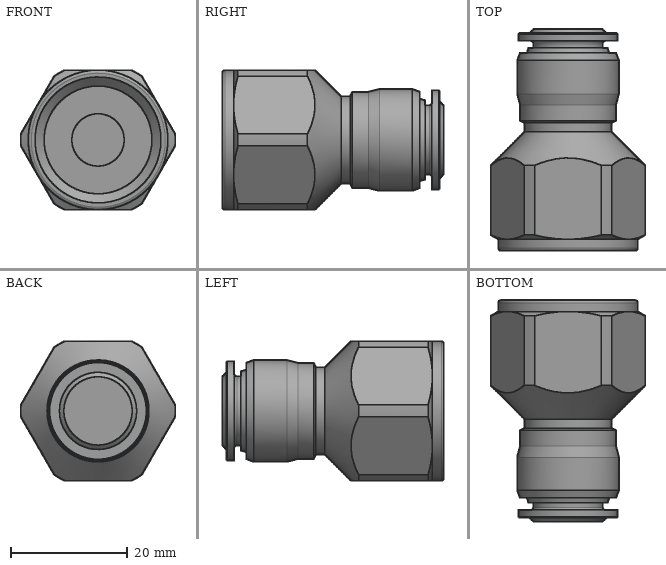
import cadquery as cq
import math

length = 38.1

hex_flats = 24.0
corner_radius = 13.3
collar_radius = hex_flats / 2
collar_length = 2.0
collar_round = 0.5
front_bevel_angle = 30.0
neck_radius = 7.5
neck_start = 20.45

sleeve_start = 22.0
sleeve_bevel_length = 0.4
sleeve_small_radius = 8.25
sleeve_radius = 8.75
sleeve_flare_start = 25.07
sleeve_wide_start = 26.97
sleeve_wide_end = 32.7
sleeve_end = 34.0
insert_base_radius = 7.1
insert_tip_radius = 6.82
insert_end = 34.85

ring_neck_radius = 6.0
ring_fillet = 0.45
ring_radius = 8.55
ring_front = 36.05
ring_back = 37.4
ring_bevel = 0.23
lip_base_radius = 6.63
lip_tip_radius = 5.85

bore_radius = 9.25
bore_mouth_radius = 10.82
bore_depth = 15.0
inner_bore_radius = 4.5
inner_bore_end = neck_start

corner_height = corner_radius - collar_radius
bevel_end = collar_length + corner_height * math.tan(math.radians(front_bevel_angle))
rear_bevel_start = neck_start - (corner_radius - neck_radius)


def revolve_about_y(profile):
    return profile.close().revolve(360, (0, 0, 0), (0, 1, 0))


def make_nut():
    """Turned nut body with its middle cut to a hexagon, flats facing +Z and -Z."""
    turned = revolve_about_y(
        cq.Workplane("XY")
        .lineTo(collar_radius - collar_round, 0)
        .radiusArc((collar_radius, collar_round), -collar_round)
        .lineTo(collar_radius, collar_length)
        .lineTo(corner_radius, bevel_end)
        .lineTo(corner_radius, rear_bevel_start)
        .lineTo(neck_radius, neck_start)
        .lineTo(neck_radius, sleeve_start)
        .lineTo(0, sleeve_start)
    )
    across_corners = hex_flats / math.cos(math.pi / 6)
    hexagon = cq.Workplane("XZ").polygon(6, across_corners).extrude(-sleeve_start)
    return turned.intersect(hexagon)


def make_sleeve():
    """Sleeve, insert and flanged release ring turned as one profile."""
    return revolve_about_y(
        cq.Workplane("XY")
        .moveTo(0, sleeve_start)
        .lineTo(neck_radius, sleeve_start)
        .lineTo(sleeve_small_radius, sleeve_start + sleeve_bevel_length)
        .lineTo(sleeve_small_radius, sleeve_flare_start)
        .lineTo(sleeve_radius, sleeve_wide_start)
        .lineTo(sleeve_radius, sleeve_wide_end)
        .lineTo(sleeve_small_radius, sleeve_end)
        .lineTo(insert_base_radius, sleeve_end)
        .lineTo(insert_tip_radius, insert_end)
        .lineTo(ring_neck_radius, insert_end)
        .lineTo(ring_neck_radius, ring_front - ring_fillet)
        .radiusArc((ring_neck_radius + ring_fillet, ring_front), ring_fillet)
        .lineTo(ring_radius, ring_front)
        .lineTo(ring_radius, ring_back - ring_bevel)
        .lineTo(ring_radius - ring_bevel, ring_back)
        .lineTo(lip_base_radius, ring_back)
        .lineTo(lip_tip_radius, length)
        .lineTo(0, length)
    )


def make_bore():
    """Main bore with a 45 degree lead-in and a smaller blind bore in its floor."""
    return revolve_about_y(
        cq.Workplane("XY")
        .lineTo(bore_mouth_radius, 0)
        .lineTo(bore_radius, bore_mouth_radius - bore_radius)
        .lineTo(bore_radius, bore_depth)
        .lineTo(inner_bore_radius, bore_depth)
        .lineTo(inner_bore_radius, inner_bore_end)
        .lineTo(0, inner_bore_end)
    )


result = make_nut().union(make_sleeve()).cut(make_bore())